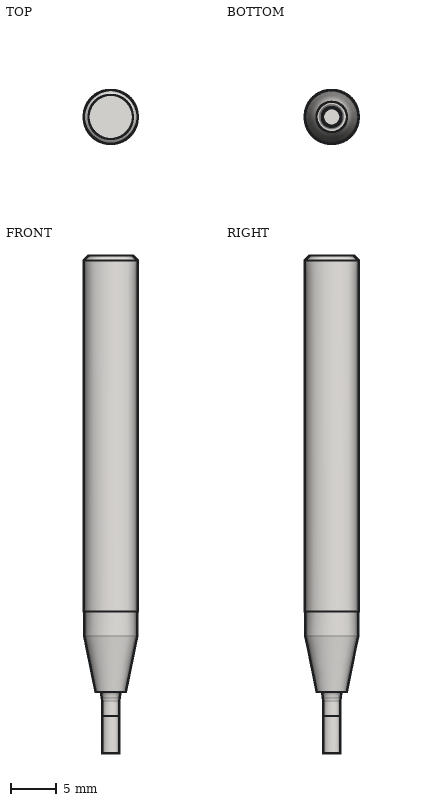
import cadquery as cq

total_length = 55.0
cutter_length = 4.1
neck_top = 5.8
blend_top = 6.1
taper_bottom = 6.75
taper_top = 13.0
shank_bottom = 15.7

tip_diameter = 1.9
blend_diameter = 2.0
flare_diameter = 2.2
taper_small_diameter = 3.35
collar_diameter = 5.9
shank_diameter = 6.0

shank_chamfer = 0.55

tip_z = -total_length / 2


def make_cutter():
    """Plain cylindrical cutting tip."""
    return cq.Workplane("XY", origin=(0, 0, tip_z)).circle(tip_diameter / 2).extrude(cutter_length)


def make_holder():
    """Turned body: neck, short flare, taper, collar and chamfered shank."""
    shank_radius = shank_diameter / 2
    return (
        cq.Workplane("XZ", origin=(0, 0, tip_z))
        .moveTo(0, cutter_length)
        .lineTo(tip_diameter / 2, cutter_length)
        .lineTo(tip_diameter / 2, neck_top)
        .lineTo(blend_diameter / 2, blend_top)
        .lineTo(flare_diameter / 2, taper_bottom)
        .lineTo(taper_small_diameter / 2, taper_bottom)
        .lineTo(collar_diameter / 2, taper_top)
        .lineTo(collar_diameter / 2, shank_bottom)
        .lineTo(shank_radius, shank_bottom)
        .lineTo(shank_radius, total_length - shank_chamfer)
        .lineTo(shank_radius - shank_chamfer, total_length)
        .lineTo(0, total_length)
        .close()
        .revolve(360, (0, 0, 0), (0, 1, 0))
    )


cutter = make_cutter()
holder = make_holder()

result = cq.Compound.makeCompound([cutter.val(), holder.val()])